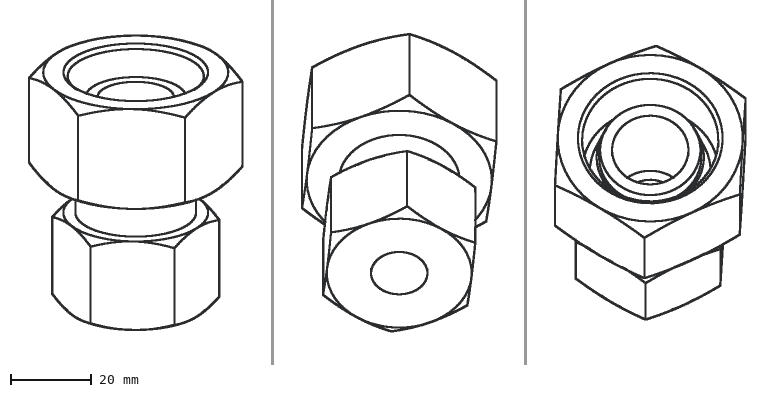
import cadquery as cq
import math

total_height = 62.0
upper_flats = 46.0
upper_height = 27.05
lower_flats = 36.0
lower_height = 24.0
hex_chamfer_angle = 30.0

neck_diameter = 30.0
passage_diameter = 14.0
wide_passage_diameter = 19.0
wide_passage_bottom = lower_height

socket_diameter = 33.85
mouth_diameter = 35.95

cone_half_angle = 12.0
tip_depth = 6.7
tip_diameter = 24.9
seat_inner_diameter = 25.4
seat_outer_diameter = 26.65

tip_z = total_height - tip_depth


def cone_z(diameter):
    """Height at which the sealing cone reaches a diameter."""
    return tip_z - (diameter - tip_diameter) / 2 / math.tan(math.radians(cone_half_angle))


def revolve_profile(points):
    """Solid of revolution about Z from (radius, z) points."""
    return cq.Workplane("XZ").polyline(points).close().revolve(360, (0, 0), (0, 1))


def hex_nut(flats, height, bottom_z):
    """Hexagon with flats facing X and conical chamfers at both ends."""
    corner_radius = flats / math.sqrt(3)
    flat_radius = flats / 2
    drop = (corner_radius - flat_radius) * math.tan(math.radians(hex_chamfer_angle))
    top_z = bottom_z + height
    prism = (
        cq.Workplane("XY")
        .workplane(offset=bottom_z)
        .polygon(6, 2 * corner_radius)
        .extrude(height)
        .rotate((0, 0, 0), (0, 0, 1), 30)
    )
    envelope = revolve_profile([
        (0, bottom_z),
        (flat_radius, bottom_z),
        (corner_radius, bottom_z + drop),
        (corner_radius, top_z - drop),
        (flat_radius, top_z),
        (0, top_z),
    ])
    return prism.intersect(envelope)


def cylinder(diameter, bottom_z, top_z):
    return cq.Workplane("XY").workplane(offset=bottom_z).circle(diameter / 2).extrude(top_z - bottom_z)


def socket():
    """Space between the nut bore and the sealing cone, open at the top."""
    floor_z = cone_z(neck_diameter)
    chamfer = (mouth_diameter - socket_diameter) / 2
    return revolve_profile([
        (0, total_height),
        (mouth_diameter / 2, total_height),
        (socket_diameter / 2, total_height - chamfer),
        (socket_diameter / 2, floor_z),
        (neck_diameter / 2, floor_z),
        (seat_outer_diameter / 2, cone_z(seat_outer_diameter)),
        (seat_inner_diameter / 2, cone_z(seat_outer_diameter)),
        (seat_inner_diameter / 2, cone_z(seat_inner_diameter)),
        (tip_diameter / 2, tip_z),
        (0, tip_z),
    ])


lower_nut = hex_nut(lower_flats, lower_height, 0)
upper_nut = hex_nut(upper_flats, upper_height, total_height - upper_height)
neck = cylinder(neck_diameter, lower_height, total_height - upper_height)
body = lower_nut.union(neck).union(upper_nut)

result = (
    body.cut(socket())
    .cut(cylinder(passage_diameter, 0, total_height))
    .cut(cylinder(wide_passage_diameter, wide_passage_bottom, total_height))
)